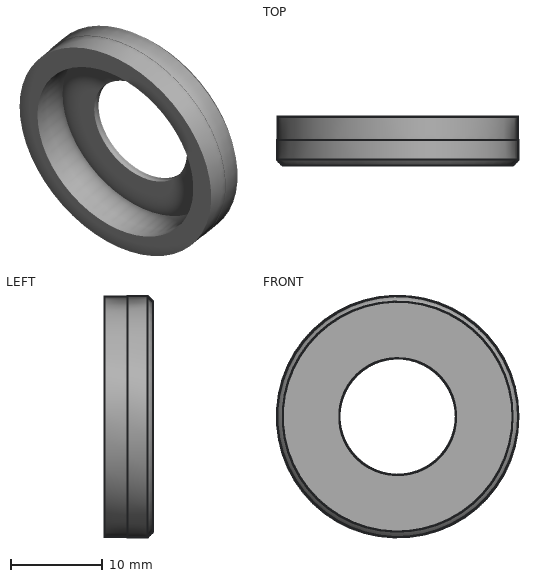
import cadquery as cq

outer_diameter = 26.42
rear_diameter = 26.31
bore_diameter = 12.73
recess_diameter = 21.4
thickness = 5.35
front_band_width = 2.8
chamfer = 0.63
front_wall = 0.8

front_y = -thickness / 2


def disc(diameter, start_y, length):
    """Cylinder about the Y axis, running from start_y toward +Y."""
    plane = cq.Workplane("XZ", origin=(0, start_y, 0))
    return plane.circle(diameter / 2).extrude(-length)


front_band = disc(outer_diameter, front_y, front_band_width).faces("<Y").edges().chamfer(chamfer)

rear_band = disc(rear_diameter, front_y + front_band_width, thickness - front_band_width)

bore = disc(bore_diameter, front_y, thickness)

recess = disc(recess_diameter, front_y + front_wall, thickness - front_wall)

result = front_band.union(rear_band).cut(bore).cut(recess)